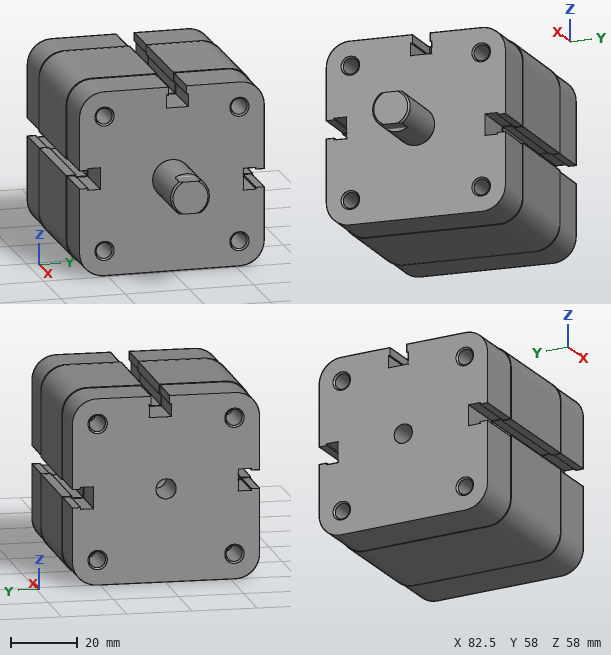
import cadquery as cq

cap_length = 14.7
barrel_length = 31.6
total_length = 82.5
barrel_start = cap_length
front_cap_start = barrel_start + barrel_length
rod_start = front_cap_start + cap_length
rod_length = total_length - rod_start

barrel_width = 58.0
barrel_corner_radius = 7.8
cap_inset = 0.25

slot_shift = 1.7
slot_neck_width = 5.2
slot_base_width = 6.3
slot_neck_depth = 3.05
slot_depth = 6.5
slot_turns = (0, 90, -90)

bolt_spacing = 42.0
bolt_hole_diameter = 4.95
countersink_diameter = 5.9
countersink_depth = (countersink_diameter - bolt_hole_diameter) / 2

center_bore_diameter = 6.2

rod_diameter = 12.05
rod_chamfer = 0.6
flat_distance = 10.0
flat_length = 5.4
flat_fillet = 0.3


def slot_cutter(length, inset):
    """T-slot of the top side, with its walls set back into the material by the inset."""
    top = barrel_width / 2
    shelf = top - slot_neck_depth + inset
    floor = top - slot_depth - inset
    neck_half = slot_neck_width / 2 + inset
    base_half = slot_base_width / 2 + inset
    base = cq.Workplane("XY").box(length, 2 * base_half, shelf - floor, centered=(False, True, False))
    neck = cq.Workplane("XY").box(length, 2 * neck_half, top - floor, centered=(False, True, False))
    return base.union(neck).translate((0, slot_shift, floor))


def profile_block(length, inset):
    """Slotted and drilled length of the body section, starting at X = 0."""
    width = barrel_width - 2 * inset
    block = cq.Workplane("XY").box(length, width, width, centered=(False, True, True))
    block = block.edges("|X").fillet(barrel_corner_radius - inset)
    for turn in slot_turns:
        block = block.cut(slot_cutter(length, inset).rotate((0, 0, 0), (1, 0, 0), turn))
    holes = (
        cq.Workplane("YZ")
        .rect(bolt_spacing, bolt_spacing, forConstruction=True)
        .vertices()
        .circle(bolt_hole_diameter / 2)
        .extrude(length)
    )
    return block.cut(holes)


def countersinks(outer_face_x, inward):
    """Four cones narrowing from the outer face along the inward X direction (+1 or -1)."""
    half = bolt_spacing / 2
    cutters = cq.Workplane("XY")
    for y in (-half, half):
        for z in (-half, half):
            cone = cq.Solid.makeCone(
                countersink_diameter / 2,
                bolt_hole_diameter / 2,
                countersink_depth,
                pnt=cq.Vector(outer_face_x, y, z),
                dir=cq.Vector(inward, 0, 0),
            )
            cutters = cutters.add(cone)
    return cutters.combine()


def make_rear_cap():
    cap = profile_block(cap_length, cap_inset).cut(countersinks(0, 1))
    bore = cq.Workplane("YZ").circle(center_bore_diameter / 2).extrude(cap_length)
    return cap.cut(bore)


def make_barrel():
    return profile_block(barrel_length, 0).translate((barrel_start, 0, 0))


def make_front_cap():
    cap = profile_block(cap_length, cap_inset).translate((front_cap_start, 0, 0))
    return cap.cut(countersinks(rod_start, -1))


def make_rod():
    """Rod standing on the outer face of the front cap."""
    rod = cq.Workplane("YZ").workplane(offset=rod_start).circle(rod_diameter / 2).extrude(rod_length)
    rod = rod.faces(">X").chamfer(rod_chamfer)
    for side in (-1, 1):
        flat = (
            cq.Workplane("XY")
            .box(flat_length, rod_diameter, rod_diameter)
            .edges("<X and |Y")
            .fillet(flat_fillet)
            .translate((total_length - flat_length / 2, 0, side * (flat_distance + rod_diameter) / 2))
        )
        rod = rod.cut(flat)
    return rod


rear_cap = make_rear_cap()
barrel = make_barrel()
front_cap = make_front_cap()
rod = make_rod()

bodies = [rear_cap, barrel, front_cap, rod]
result = cq.Compound.makeCompound([body.solids().val() for body in bodies])